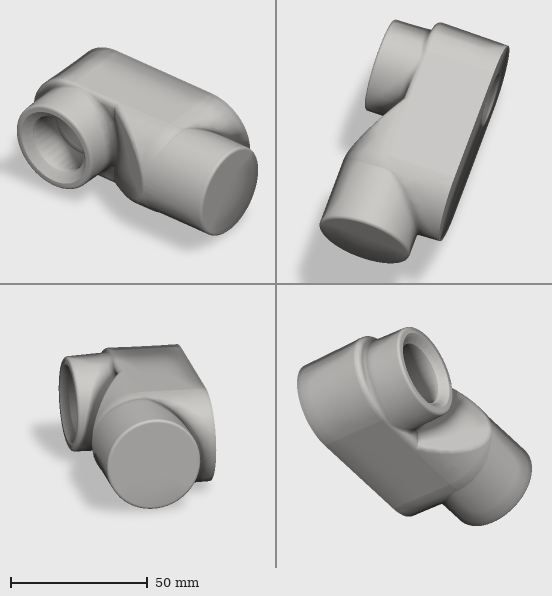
import cadquery as cq
import math

overall_length = 89.7
overall_depth = 42.9
body_width = 36.3
end_spacing = 43.7
draft = 1.5

pipe_diameter = 34.9
pipe_blend_radius = 1.2
rim_radius = 1.1

belly_depth = 17.5
floor_depth = 2.3
ramp_start_x = 19.9
ramp_end_x = 44.5
belly_edge_radius = 2.0

spout_x = 3.6
spout_mouth_diameter = 34.9
spout_blend_radius = 1.4

mouth_radius = 14.8
mouth_depth = 2.9
socket_entry_radius = 11.75
socket_end_radius = 11.4
socket_depth = 16.0
through_diameter = 20.1

body_radius = body_width / 2
pipe_radius = pipe_diameter / 2
front_y = -pipe_radius
back_y = overall_depth - pipe_radius
pipe_end_x = overall_length - body_radius
through_radius = through_diameter / 2
stop_radius = socket_end_radius - through_radius
pipe_start_x = end_spacing + body_radius * math.sqrt(1 - (pipe_radius / belly_depth) ** 2)


def slab(y_min, y_max):
    """Block wider than the part, used to keep one range of Y."""
    size = 3 * overall_length
    return cq.Workplane("XY").box(size, y_max - y_min, size).translate((0, (y_min + y_max) / 2, 0))


front_half = slab(-overall_depth, 0)
back_half = slab(0, overall_depth)


def make_pipe():
    """Side pipe with its axis on the parting plane, pointing towards +X."""
    return (
        cq.Workplane("YZ", origin=(pipe_start_x, 0, 0))
        .circle(pipe_radius)
        .extrude(pipe_end_x - pipe_start_x)
        .faces(">X")
        .edges()
        .fillet(rim_radius)
    )


def make_back_body(pipe):
    """Drafted round-ended block behind the parting plane, blended into the pipe."""
    block = (
        cq.Workplane("XZ")
        .center(end_spacing / 2, 0)
        .slot2D(end_spacing + body_width, body_width)
        .extrude(-back_y, taper=draft)
    )
    seam_zone = cq.selectors.BoxSelector(
        (end_spacing, back_y / 4, -body_radius),
        (end_spacing + body_radius, back_y * 3 / 4, body_radius),
    )
    return (
        block.union(pipe.intersect(back_half))
        .edges("%BSPLINE")
        .edges(seam_zone)
        .fillet(pipe_blend_radius)
    )


def make_belly():
    """Half-elliptical trough with domed ends, in front of the parting plane."""
    trough = cq.Workplane("YZ").ellipse(belly_depth, body_radius).extrude(end_spacing)
    dome = (
        cq.Workplane("XY")
        .moveTo(0, -belly_depth)
        .ellipseArc(body_radius, belly_depth, -90, 90, startAtCurrent=True)
        .close()
        .revolve(360, (0, 0, 0), (0, 1, 0))
    )
    right_dome = dome.translate((end_spacing, 0, 0))
    return trough.union(dome).union(right_dome).intersect(front_half)


def make_front_body():
    """Belly cut to a floor under the spout and a ramp, with a rounded rim."""
    ramp_slope = (front_y + floor_depth) / (ramp_end_x - ramp_start_x)
    ramp_bottom_y = -floor_depth + ramp_slope * (pipe_end_x - ramp_start_x)
    kept = (
        cq.Workplane("XY")
        .moveTo(-overall_length, 0)
        .lineTo(-overall_length, -floor_depth)
        .lineTo(ramp_start_x, -floor_depth)
        .lineTo(pipe_end_x, ramp_bottom_y)
        .lineTo(pipe_end_x, 0)
        .close()
        .extrude(body_width, both=True)
    )
    rim_zone = cq.selectors.BoxSelector(
        (-overall_length, -overall_depth, -body_width),
        (overall_length, -floor_depth / 2, body_width),
    )
    return (
        make_belly()
        .intersect(kept)
        .edges("%BSPLINE")
        .edges(rim_zone)
        .fillet(belly_edge_radius)
    )


def add_spout(front_body):
    """Drafted spout towards -Y, with a fillet around its root."""
    spout = (
        cq.Workplane("XZ", origin=(spout_x, front_y, 0))
        .circle(spout_mouth_diameter / 2)
        .extrude(front_y, taper=-draft)
        .faces("<Y")
        .edges()
        .fillet(rim_radius)
    )
    root_zone = cq.selectors.BoxSelector(
        (-overall_length, -2 * floor_depth, -body_width),
        (overall_length, 0, body_width),
    )
    return (
        front_body.union(spout)
        .faces("%CONE")
        .edges("not %LINE")
        .edges(root_zone)
        .fillet(spout_blend_radius)
    )


def make_bore():
    """Revolved cutter for the spout bore, running through to the back face."""
    socket_end_y = front_y + socket_depth
    return (
        cq.Workplane("XY")
        .moveTo(0, front_y)
        .lineTo(mouth_radius, front_y)
        .lineTo(socket_entry_radius, front_y + mouth_depth)
        .lineTo(socket_end_radius, socket_end_y)
        .radiusArc((through_radius, socket_end_y + stop_radius), stop_radius)
        .lineTo(through_radius, back_y)
        .lineTo(0, back_y)
        .close()
        .revolve(360, (0, 0, 0), (0, 1, 0))
        .translate((spout_x, 0, 0))
    )


pipe = make_pipe()
back_body = make_back_body(pipe)
front_body = add_spout(make_front_body())
fitting = back_body.union(front_body).union(pipe).cut(make_bore())
result = fitting.solids()